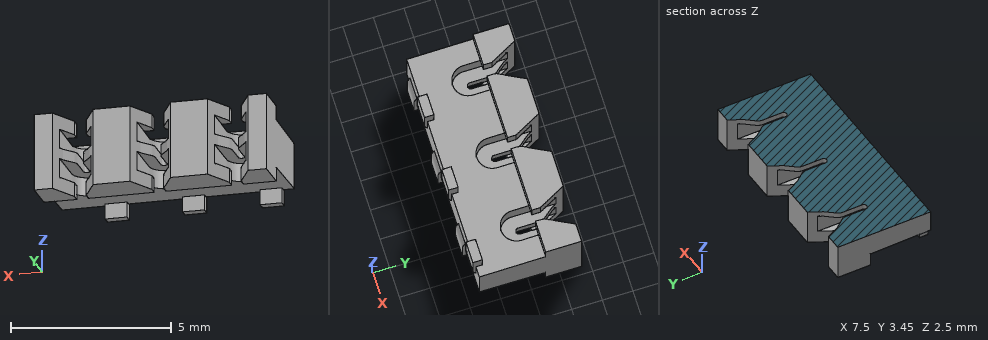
import cadquery as cq
import math

length = 7.5
height = 2.5
body_depth = 3.35
tooth_depth = 1.18
slot_count = 3
slot_pitch = length / slot_count

face_height = 1.5
draft_angle = 1.15
ledge_height = face_height + 2 * (body_depth - tooth_depth) * math.tan(math.radians(draft_angle))

gap_half_width = 0.19
mouth_half_width = 0.655
mouth_depth = 0.9

pocket_half_width = 0.505
pocket_depth = 2.245
web_thickness = 0.35

slot_half_width = 0.1
slot_depth = 1.755
flare_start_depth = 0.45
flare_end_depth = 0.85
flare_fillet = 0.3

terminal_width = 0.71
terminal_thickness = 0.31
terminal_projection = 0.1
terminal_end_z = 0.125
bend_start_z = 0.45
terminal_offset = gap_half_width + terminal_width / 2


def slot_positions():
    """X coordinates of the slot centres."""
    return [(i - (slot_count - 1) / 2) * slot_pitch for i in range(slot_count)]


def make_body():
    """Constant section along X: full-height rail with a slightly tapered body."""
    half_ledge = ledge_height / 2
    half_face = face_height / 2
    return (
        cq.Workplane("YZ")
        .moveTo(0, -height / 2)
        .lineTo(0, height / 2)
        .lineTo(-tooth_depth, height / 2)
        .lineTo(-tooth_depth, half_ledge)
        .lineTo(-body_depth, half_face)
        .lineTo(-body_depth, -half_face)
        .lineTo(-tooth_depth, -half_ledge)
        .lineTo(-tooth_depth, -height / 2)
        .close()
        .extrude(length / 2, both=True)
    )


def make_tooth_gap():
    """Full-height V-shaped gap that narrows to parallel flanks."""
    return (
        cq.Workplane("XY")
        .moveTo(-mouth_half_width, 0)
        .lineTo(-gap_half_width, -mouth_depth)
        .lineTo(-gap_half_width, -tooth_depth)
        .lineTo(gap_half_width, -tooth_depth)
        .lineTo(gap_half_width, -mouth_depth)
        .lineTo(mouth_half_width, 0)
        .close()
        .extrude(height / 2, both=True)
    )


def make_pocket():
    """Round-ended pocket as tall as the body at the ledge, open at the toothed edge."""
    arc_centre_y = pocket_half_width - pocket_depth
    return (
        cq.Workplane("XY")
        .moveTo(-pocket_half_width, 0)
        .lineTo(-pocket_half_width, arc_centre_y)
        .threePointArc((0, -pocket_depth), (pocket_half_width, arc_centre_y))
        .lineTo(pocket_half_width, 0)
        .close()
        .extrude(ledge_height / 2, both=True)
    )


def make_wire_slot():
    """Web-thick cutter: tooth mouth, flared entry, then a narrow round-ended slot."""
    flank_slope = (mouth_half_width - gap_half_width) / mouth_depth
    flare_half_width = mouth_half_width - flank_slope * flare_start_depth
    arc_centre_y = slot_half_width - slot_depth
    slot = (
        cq.Workplane("XY")
        .moveTo(-mouth_half_width, 0)
        .lineTo(-flare_half_width, -flare_start_depth)
        .lineTo(-slot_half_width, -flare_end_depth)
        .lineTo(-slot_half_width, arc_centre_y)
        .threePointArc((0, -slot_depth), (slot_half_width, arc_centre_y))
        .lineTo(slot_half_width, -flare_end_depth)
        .lineTo(flare_half_width, -flare_start_depth)
        .lineTo(mouth_half_width, 0)
        .close()
        .extrude(web_thickness / 2, both=True)
    )
    corner_selector = cq.selectors.BoxSelector(
        (-gap_half_width, -flare_end_depth - slot_half_width, -web_thickness),
        (gap_half_width, -flare_end_depth + slot_half_width, web_thickness),
    )
    return slot.edges("|Z").edges(corner_selector).fillet(flare_fillet)


def make_slot_cutter():
    """Everything removed at one slot, with its centre at x = 0."""
    web_layer = cq.Workplane("XY").box(length, 2 * body_depth, web_thickness)
    openings = make_tooth_gap().union(make_pocket()).cut(web_layer)
    return openings.union(make_wire_slot())


def make_upper_terminal():
    """Upright terminal strip whose lower end bends into the body face, centred at x = 0."""
    outer_y = -body_depth - terminal_projection
    inner_y = outer_y + terminal_thickness
    bend_height = bend_start_z - terminal_end_z
    bend_radius = (bend_height**2 + terminal_projection**2) / (2 * terminal_projection)
    half_sweep = math.asin(bend_height / bend_radius) / 2
    bend_middle = (
        outer_y + bend_radius * (1 - math.cos(half_sweep)),
        bend_start_z - bend_radius * math.sin(half_sweep),
    )
    return (
        cq.Workplane("YZ")
        .moveTo(inner_y, height / 2)
        .lineTo(outer_y, height / 2)
        .lineTo(outer_y, bend_start_z)
        .threePointArc(bend_middle, (-body_depth, terminal_end_z))
        .lineTo(inner_y, terminal_end_z)
        .close()
        .extrude(terminal_width / 2, both=True)
    )


slot_cutter = make_slot_cutter()
upper_terminal = make_upper_terminal()
lower_terminal = upper_terminal.mirror("XY")

result = make_body()
for slot_x in slot_positions():
    result = result.cut(slot_cutter.translate((slot_x, 0, 0)))
    result = result.union(upper_terminal.translate((slot_x + terminal_offset, 0, 0)))
    result = result.union(lower_terminal.translate((slot_x - terminal_offset, 0, 0)))